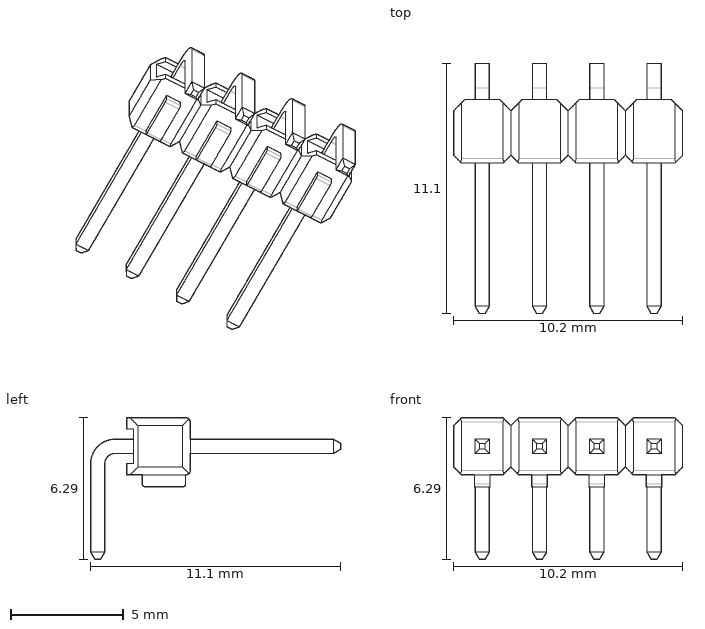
import cadquery as cq
import math

segment_count = 4
row_length = 10.17
segment_width = row_length / segment_count

housing_height = 2.54
housing_depth = 2.83
side_chamfer = 0.35
back_chamfer = 0.5
front_edge_radius = 0.2
back_slot_depth = 0.3
back_slot_height = 1.52

foot_width = 0.7
foot_depth = 1.93
foot_height = 0.53
foot_edge_radius = 0.13
foot_setback = 0.21

pin_size = 0.64
pin_length_y = 11.11
bend_inner_radius = 0.45
leg_overhang = 1.6
tip_length = 0.33
tip_size = 0.26
overall_height = 6.29

pin_half = pin_size / 2
leg_back_y = pin_half
pin_front_y = leg_back_y - pin_length_y
leg_bottom_z = housing_height / 2 - overall_height
housing_back_y = leg_back_y - leg_overhang
housing_front_y = housing_back_y - housing_depth

housing_groups = [[0], [1, 2], [3]]


def segment_x(index):
    return (index - (segment_count - 1) / 2) * segment_width


def segment_block():
    """Block with chamfered sides: the overlap of its plan, front and side outlines."""
    half_width = segment_width / 2
    half_height = housing_height / 2
    plan = (
        cq.Workplane("XY")
        .workplane(offset=-half_height)
        .moveTo(half_width - side_chamfer, housing_front_y)
        .lineTo(half_width, housing_front_y + side_chamfer)
        .lineTo(half_width, housing_back_y - back_chamfer)
        .lineTo(half_width - back_chamfer, housing_back_y)
        .lineTo(0, housing_back_y)
        .lineTo(0, housing_front_y)
        .close()
        .extrude(housing_height)
    )
    plan = plan.union(plan.mirror("YZ"))
    front = (
        cq.Workplane("XZ", origin=(0, housing_back_y, 0))
        .rect(segment_width, housing_height)
        .extrude(housing_depth)
        .edges("|Y")
        .chamfer(side_chamfer)
    )
    side = (
        cq.Workplane("XY")
        .box(segment_width, housing_depth, housing_height)
        .edges("|X and <Y")
        .fillet(front_edge_radius)
        .translate((0, (housing_front_y + housing_back_y) / 2, 0))
    )
    slot = (
        cq.Workplane("XY")
        .box(segment_width, back_slot_depth, back_slot_height)
        .translate((0, housing_back_y - back_slot_depth / 2, 0))
    )
    return plan.intersect(front).intersect(side).cut(slot)


def foot():
    centre_y = housing_front_y + foot_setback + foot_depth / 2
    centre_z = -housing_height / 2 - foot_height / 2
    return (
        cq.Workplane("XY")
        .box(foot_width, foot_depth, foot_height)
        .edges("|X and <Z")
        .fillet(foot_edge_radius)
        .translate((0, centre_y, centre_z))
    )


def pin_tip():
    """Blunt pyramid along +Z, its base on z = 0."""
    return (
        cq.Workplane("XY")
        .rect(pin_size, pin_size)
        .workplane(offset=tip_length)
        .rect(tip_size, tip_size)
        .loft()
    )


def pin():
    bend_outer_radius = bend_inner_radius + pin_size
    arc_centre_y = leg_back_y - bend_outer_radius
    arc_centre_z = pin_half - bend_outer_radius
    diagonal = math.sqrt(0.5)
    shaft_end_y = pin_front_y + tip_length
    leg_end_z = leg_bottom_z + tip_length
    wire = (
        cq.Workplane("YZ", origin=(-pin_half, 0, 0))
        .moveTo(shaft_end_y, -pin_half)
        .lineTo(arc_centre_y, -pin_half)
        .threePointArc(
            (arc_centre_y + bend_inner_radius * diagonal, arc_centre_z + bend_inner_radius * diagonal),
            (-pin_half, arc_centre_z),
        )
        .lineTo(-pin_half, leg_end_z)
        .lineTo(pin_half, leg_end_z)
        .lineTo(pin_half, arc_centre_z)
        .threePointArc(
            (arc_centre_y + bend_outer_radius * diagonal, arc_centre_z + bend_outer_radius * diagonal),
            (arc_centre_y, pin_half),
        )
        .lineTo(shaft_end_y, pin_half)
        .close()
        .extrude(pin_size)
    )
    shaft_tip = pin_tip().rotate((0, 0, 0), (1, 0, 0), 90).translate((0, shaft_end_y, 0))
    leg_tip = pin_tip().rotate((0, 0, 0), (1, 0, 0), 180).translate((0, 0, leg_end_z))
    return wire.union(shaft_tip).union(leg_tip)


def housing(indices):
    segment = segment_block().union(foot()).cut(pin())
    body = segment.translate((segment_x(indices[0]), 0, 0))
    for index in indices[1:]:
        body = body.union(segment.translate((segment_x(index), 0, 0)))
    return body


housings = [housing(indices) for indices in housing_groups]
pins = [pin().translate((segment_x(index), 0, 0)) for index in range(segment_count)]

result = cq.Compound.makeCompound([body.val() for body in housings + pins])